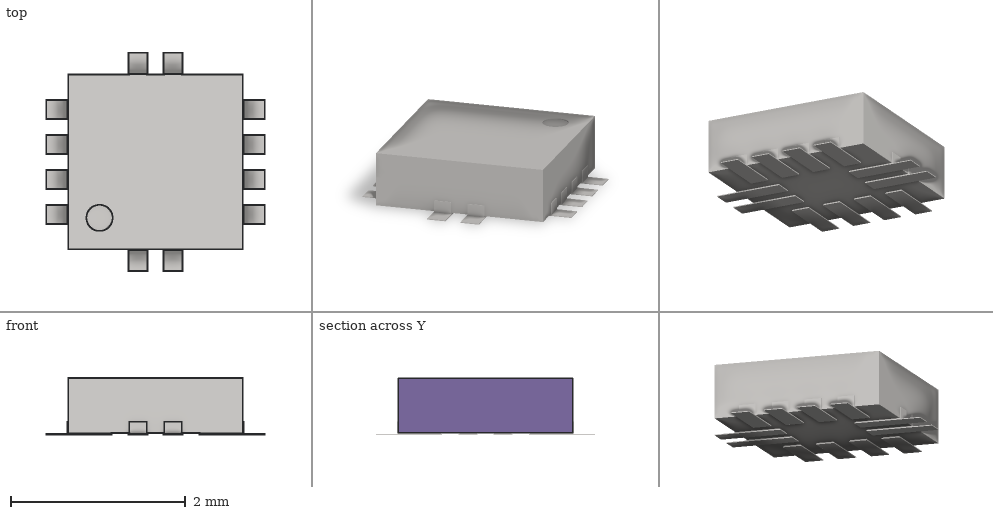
import cadquery as cq

overall_span = 2.5
overall_height = 0.65

body_size = 2.0

foil = 0.01
terminal_width = 0.2
terminal_top = 0.15

land_thickness = 0.01
land_width = 0.22
side_land_length = 0.75
end_land_length = 0.8

land_margin = (land_width - terminal_width) / 2

pitch = 0.4
side_count = 4
end_count = 2

marker_diameter = 0.3
marker_position = -0.64
marker_depth = 0.01

body_bottom = land_thickness + foil


def box(x_start, x_end, width, z_start, z_end):
    """Box centred on Y = 0 between the given X and Z limits."""
    return (
        cq.Workplane("XY")
        .box(x_end - x_start, width, z_end - z_start, centered=(False, True, False))
        .translate((x_start, 0, z_start))
    )


def contact(land_length):
    """One land with its L-shaped terminal, on the +X side of the body."""
    land_outer = overall_span / 2
    land_inner = land_outer - land_length
    terminal_inner = land_inner + land_margin
    terminal_outer = body_size / 2 + foil

    land = box(land_inner, land_outer, land_width, 0, land_thickness)
    foot = box(terminal_inner, terminal_outer, terminal_width, land_thickness, body_bottom)
    upright = box(body_size / 2, terminal_outer, terminal_width, land_thickness, terminal_top)
    return land.union(foot).union(upright)


def add_contact_row(part, count, land_length, angle):
    """Join evenly pitched contacts to the side found by turning +X about Z."""
    single = contact(land_length)
    for index in range(count):
        offset = (index - (count - 1) / 2) * pitch
        placed = single.translate((0, offset, 0)).rotate((0, 0, 0), (0, 0, 1), angle)
        part = part.union(placed)
    return part


def marked_body():
    """Square body with the shallow marker recess in its top face."""
    block = box(-body_size / 2, body_size / 2, body_size, body_bottom, overall_height)
    marker = (
        cq.Workplane("XY", origin=(marker_position, marker_position, overall_height))
        .circle(marker_diameter / 2)
        .extrude(-marker_depth)
    )
    return block.cut(marker)


result = marked_body()
for side_angle in (0, 180):
    result = add_contact_row(result, side_count, side_land_length, side_angle)
for end_angle in (90, 270):
    result = add_contact_row(result, end_count, end_land_length, end_angle)